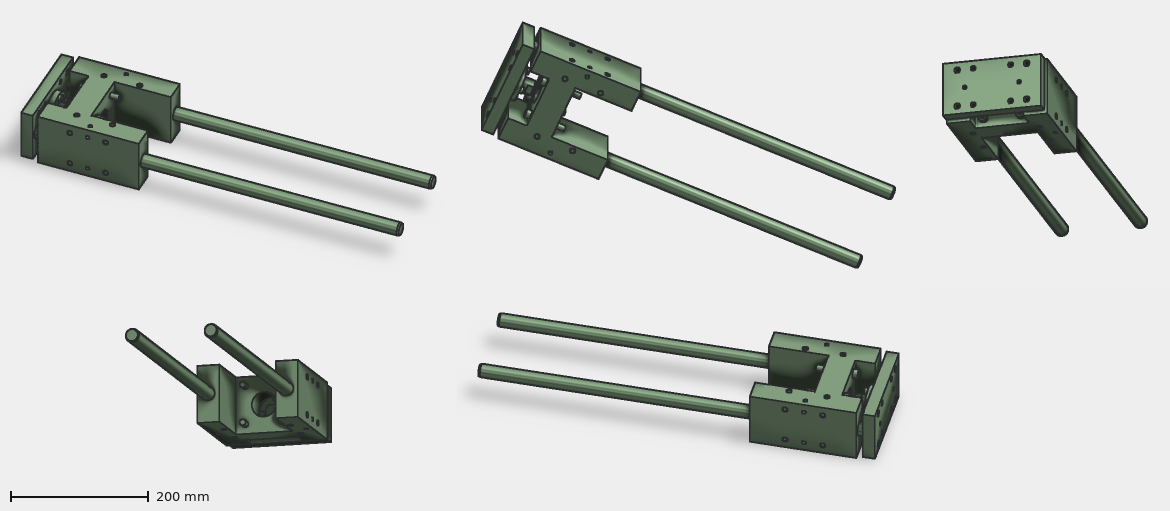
import cadquery as cq
import math

overall_length = 595.0

plate_thickness = 18.5
plate_width = 148.0
plate_height = 80.5
corner_hole_diameter = 9.0
corner_hole_y = 52.5
corner_hole_z = 28.0
access_hole_diameter = 8.0
dowel_hole_diameter = 6.0
plate_dowel_y = 41.0

rod_diameter = 20.0
rod_y = 59.5
rod_chamfer_length = 3.0
rod_chamfer_depth = 1.0

flange_diameter = 55.5
flange_thickness = 9.5
boss_diameter = 24.0
boss_length = 19.5
flat_length = 9.5
flat_spacing = 20.0
flange_screw_head_diameter = 10.0
flange_screw_head_height = 5.0
flange_screw_radius = 22.5

housing_front = 27.5
housing_length = 159.5
housing_width = 152.0
housing_height = 85.0
front_pocket_depth = 30.0
front_pocket_width = 81.0
front_pocket_corner_radius = 2.0
web_thickness = 40.5
rear_pocket_width = 85.0
web_bore_diameter = 37.0

web_screw_pitch = 56.5
web_screw_head_diameter = 13.0
web_screw_head_height = 8.0
web_screw_shank_diameter = 9.0
web_screw_shank_length = 14.0
web_screw_socket_sides = 6
web_screw_socket_width = 5.0
web_screw_socket_depth = 4.0

mount_hole_diameter = 6.5
mount_countersink_diameter = 8.5
countersink_angle = 45
mount_hole_depth = 15.0
mount_hole_pitch = 56.5
mount_center_x = 106.0
top_mount_hole_y = 50.0
housing_dowel_depth = 9.0
top_dowel_y = 66.0
side_dowel_z = 28.5

housing_rear = housing_front + housing_length
web_front = housing_front + front_pocket_depth
web_rear = web_front + web_thickness
web_screw_offset = web_screw_pitch / 2
web_screw_socket_corner_width = web_screw_socket_width / math.cos(math.pi / web_screw_socket_sides)
mount_hole_xs = [mount_center_x + sign * mount_hole_pitch / 2 for sign in (-1, 1)]
side_mount_hole_z = mount_hole_pitch / 2
countersink_step = (mount_countersink_diameter - mount_hole_diameter) / 2
mount_countersink_depth = countersink_step / math.tan(math.radians(countersink_angle))
flange_rear = plate_thickness + flange_thickness
boss_rear = flange_rear + boss_length


def box_from(x_start, length, width, height):
    """Box starting at x_start, centred on the X axis."""
    return cq.Workplane("XY", origin=(x_start, 0, 0)).box(length, width, height, centered=(False, True, True))


def x_cylinders(diameter, x_start, length, places):
    """Cylinders along +X, one at each (y, z) place."""
    return cq.Workplane("YZ", origin=(x_start, 0, 0)).pushPoints(places).circle(diameter / 2).extrude(length)


def four_corners(y, z):
    """The four (y, z) places mirrored about both axes."""
    return [(y_sign * y, z_sign * z) for y_sign in (-1, 1) for z_sign in (-1, 1)]


def make_plate():
    """Front plate with its through holes."""
    plate = box_from(0, plate_thickness, plate_width, plate_height)
    hole_sets = [
        (corner_hole_diameter, four_corners(corner_hole_y, corner_hole_z)),
        (access_hole_diameter, four_corners(web_screw_offset, web_screw_offset)),
        (dowel_hole_diameter, [(-plate_dowel_y, 0), (plate_dowel_y, 0)]),
    ]
    for diameter, places in hole_sets:
        plate = plate.cut(x_cylinders(diameter, 0, plate_thickness, places))
    return plate


def make_rod(y):
    """Rod from the plate's rear face, tapered at its free end."""
    radius = rod_diameter / 2
    return (
        cq.Workplane("XY")
        .moveTo(plate_thickness, 0)
        .lineTo(plate_thickness, radius)
        .lineTo(overall_length - rod_chamfer_length, radius)
        .lineTo(overall_length, radius - rod_chamfer_depth)
        .lineTo(overall_length, 0)
        .close()
        .revolve(360, (0, 0, 0), (1, 0, 0))
        .translate((0, y, 0))
    )


def make_coupling():
    """Flange with four screw heads and a boss with two wrench flats."""
    flange = x_cylinders(flange_diameter, plate_thickness, flange_thickness, [(0, 0)])
    boss = x_cylinders(boss_diameter, flange_rear, boss_length, [(0, 0)])
    flat_start = boss_rear - flat_length
    flat_zone = box_from(flat_start, flat_length, boss_diameter, boss_diameter)
    kept_zone = box_from(flat_start, flat_length, boss_diameter, flat_spacing)
    boss = boss.cut(flat_zone.cut(kept_zone))
    radius = flange_screw_radius
    head_places = [(radius, 0), (-radius, 0), (0, radius), (0, -radius)]
    heads = x_cylinders(flange_screw_head_diameter, flange_rear, flange_screw_head_height, head_places)
    return flange.union(boss).union(heads)


def make_slide():
    """Front plate with its coupling and both guide rods."""
    slide = make_plate().union(make_coupling())
    for y in (-rod_y, rod_y):
        slide = slide.union(make_rod(y))
    return slide


def make_web_screws():
    """Heads in front of the web and shanks behind it."""
    places = four_corners(web_screw_offset, web_screw_offset)
    head_front = web_front - web_screw_head_height
    heads = x_cylinders(web_screw_head_diameter, head_front, web_screw_head_height, places)
    sockets = (
        cq.Workplane("YZ", origin=(head_front, 0, 0))
        .pushPoints(places)
        .polygon(web_screw_socket_sides, web_screw_socket_corner_width)
        .extrude(web_screw_socket_depth)
    )
    shanks = x_cylinders(web_screw_shank_diameter, web_rear, web_screw_shank_length, places)
    return heads.cut(sockets), shanks


def drills_from_face(plane, face_offset, places, diameter, depth):
    """Drills going from a face, parallel to the plane, towards the housing's middle."""
    mouths = cq.Workplane(plane).workplane(offset=face_offset).pushPoints(places)
    return mouths.circle(diameter / 2).extrude(-depth)


def countersinks_from_face(plane, face_offset, places):
    """Cones that widen the mouths of the mounting holes."""
    mouths = cq.Workplane(plane).workplane(offset=face_offset).pushPoints(places)
    mouths = mouths.circle(mount_countersink_diameter / 2)
    return mouths.extrude(-mount_countersink_depth, taper=countersink_angle)


def cut_mounting_holes(housing):
    """Mounting and dowel holes in the top and one side, mirrored on the opposite faces."""
    top_holes = [(x, sign * top_mount_hole_y) for x in mount_hole_xs for sign in (-1, 1)]
    top_dowels = [(mount_center_x, sign * top_dowel_y) for sign in (-1, 1)]
    side_holes = [(x, sign * side_mount_hole_z) for x in mount_hole_xs for sign in (-1, 1)]
    side_dowels = [(mount_center_x, sign * side_dowel_z) for sign in (-1, 1)]
    faces = [
        ("XY", housing_height / 2, top_holes, top_dowels),
        ("XZ", housing_width / 2, side_holes, side_dowels),
    ]
    for plane, face_offset, holes, dowels in faces:
        cutters = [
            drills_from_face(plane, face_offset, holes, mount_hole_diameter, mount_hole_depth),
            countersinks_from_face(plane, face_offset, holes),
            drills_from_face(plane, face_offset, dowels, dowel_hole_diameter, housing_dowel_depth),
        ]
        for cutter in cutters:
            housing = housing.cut(cutter).cut(cutter.mirror(plane))
    return housing


def make_housing():
    """H-shaped guide housing with the rod bores and the web screws."""
    housing = box_from(housing_front, housing_length, housing_width, housing_height)
    front_pocket = box_from(housing_front, front_pocket_depth, front_pocket_width, housing_height)
    front_pocket = front_pocket.edges("|Z and >X").fillet(front_pocket_corner_radius)
    rear_pocket = box_from(web_rear, housing_rear - web_rear, rear_pocket_width, housing_height)
    bores = x_cylinders(rod_diameter, housing_front, housing_length, [(-rod_y, 0), (rod_y, 0)])
    web_bore = x_cylinders(web_bore_diameter, web_front, web_thickness, [(0, 0)])
    housing = housing.cut(front_pocket).cut(rear_pocket).cut(bores).cut(web_bore)
    housing = cut_mounting_holes(housing)
    heads, shanks = make_web_screws()
    return housing.union(heads).union(shanks)


slide = make_slide()
housing = make_housing()
result = cq.Compound.makeCompound([slide.val(), housing.val()])